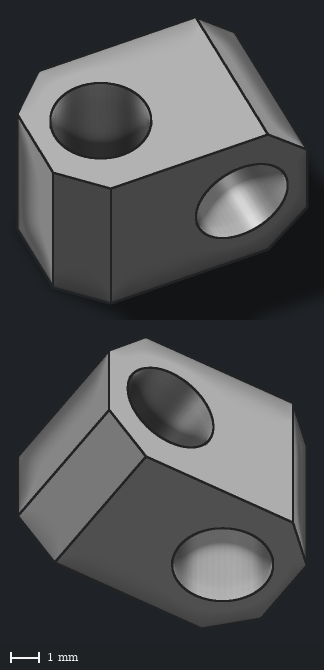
import cadquery as cq

length = 9.0
width = 6.0
height = width
chamfer = 1.5
hole_diameter = 3.5
hole_end_distance = 2.5

hole_offset = length / 2 - hole_end_distance


def chamfered_block():
    """Centred block; each end is chamfered in a different direction."""
    block = cq.Workplane("XY").box(width, length, height)
    block = block.faces("<Y").edges("|Z").chamfer(chamfer)
    return block.faces(">Y").edges("|X").chamfer(chamfer)


def through_hole(plane, center, depth):
    """Cylinder that cuts right through the block along the plane normal."""
    profile = cq.Workplane(plane).center(*center).circle(hole_diameter / 2)
    return profile.extrude(depth / 2, both=True)


vertical_hole = through_hole("XY", (0, -hole_offset), height)
cross_hole = through_hole("YZ", (hole_offset, 0), width)

result = chamfered_block().cut(vertical_hole).cut(cross_hole)